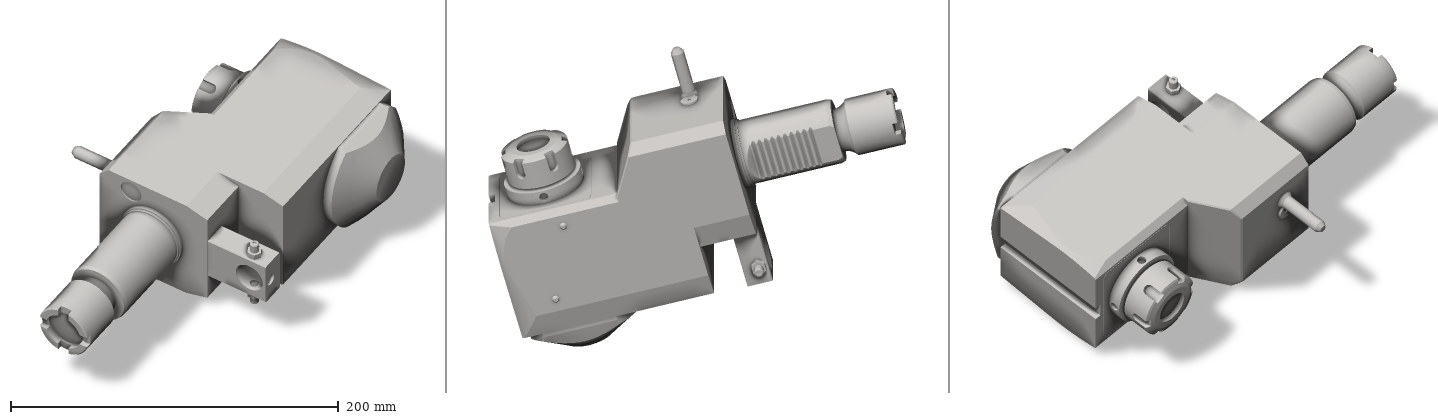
import cadquery as cq
import math

half_height = 37.5
bevel_angle = 15.0
bevel_tan = math.tan(math.radians(bevel_angle))

base_left = -39.0
base_right = 39.3
base_depth = 75.0
base_chamfer = 6.5
base_bevel = 15.5
shoulder_y = 58.5
shoulder_edge = 0.8

head_left = -9.0
head_right = 71.7
head_front = 35.0
head_rear = 156.0
head_chamfer = 4.0
head_bevel = 14.5
rear_arc_radius = 32.5
rear_arc_x = 18.5
rear_arc_top = 152.7
rear_edge_angle = 15.0
key_width = 10.3
key_depth = 4.0

spindle_y = 120.0

shank_radius = 20.0
shank_edge_length, shank_edge_drop = 2.5, 0.8
shank_end = -62.5
collar_radius = 21.5
collar_end = -2.5
step_end = -4.0
step_radius = 20.8
rack_level = -16.2
rack_start = -5.7
rack_root = -15.0
rack_first, rack_last = -11.8, -48.0
rack_gaps = 10
rack_pitch = (rack_first - rack_last) / (rack_gaps - 1)
gap_root_width = 0.8
gap_top_width = 2.8

neck_radius = 13.0
neck_arc_start = -63.2
neck_arc_radius = 14.5
knob_radius = 17.7
knob_start = -71.2
knob_end = -101.0
knob_recess_radius = 12.5
knob_recess = 5.1
knob_slot_depth = 3.5
knob_slot_width = 7.7
knob_edge = 0.8

plug_x, plug_z, plug_radius, plug_depth = -16.2, 27.8, 7.5, 1.0

arm_root = 18.0
arm_end = 81.5
arm_front, arm_back = 0.5, 16.5
arm_half_height = 15.2
arm_edge = 0.5
arm_hole_x = 69.6
arm_hole_radius = 9.8
arm_side_hole_radius = 3.9
arm_screw_y = 6.2
arm_nut_width = 9.5
arm_nut_height = 3.9
arm_screw_radius = 2.8
arm_screw_height = 10.0
arm_screw_edge = 0.5
arm_screw_recess = 1.0
arm_socket_width = 2.8
arm_socket_depth = 1.3

pin_y, pin_z = 21.0, 16.0
pin_tip = -71.7
pin_radius, pin_tip_radius, pin_tip_length = 4.0, 2.3, 2.8
pin_foot_radius, pin_foot_length = 6.0, 2.3
disc_z, disc_radius, disc_height = 6.2, 5.5, 1.5
disc_socket_width, disc_socket_depth = 2.5, 1.0

flange_radius = 24.2
flange_end = -17.5
flange_hole_radius = 2.8
flange_hole_x = -13.4
flange_hole_depth = 3.9
nut_radius = 21.0
nut_rear = -19.0
nut_groove_radius = 19.0
nut_front = -39.0
nut_shoulder_length = 2.3
nut_step_radius, nut_step_length = 19.8, 1.5
nut_face_radius = 15.2
nut_bore_radius, nut_bore_depth = 10.5, 3.0
nut_slots = 6
nut_slot_width = 6.5
nut_slot_length = 13.0
nut_slot_floor = 17.7

panel_front, panel_rear = 91.2, 149.0
panel_half_height = 31.5
panel_corner = 5.0
seam_width, seam_depth = 0.3, 0.3

cap_radius = 40.0
cap_rim_end = 77.9
cap_end = 94.8
cap_face_radius = 16.0
cap_rear = 152.1
cap_flat_height = 33.0

drain_points = [(2.3, 111.8), (49.0, 129.0)]
drain_radius, drain_tip_radius, drain_height = 2.3, 1.3, 1.5


def cylinder(start, direction, radius, length):
    """Solid cylinder from a start point along a direction."""
    solid = cq.Solid.makeCylinder(radius, length, cq.Vector(*start), cq.Vector(*direction))
    return cq.Workplane(obj=solid)


def box(x0, x1, y0, y1, z0, z1):
    """Axis-aligned box given by its limits."""
    block = cq.Workplane().box(x1 - x0, y1 - y0, z1 - z0, centered=False)
    return block.translate((x0, y0, z0))


def mirrored_z(shape):
    """The shape together with its mirror image below Z = 0."""
    return shape.union(shape.mirror("XY"))


def turned_along_x(profile, axis_y, axis_z):
    """Revolve (x, radius) points, closed to the axis, about a line parallel to X."""
    points = [(profile[0][0], 0)] + profile + [(profile[-1][0], 0)]
    turned = cq.Workplane().polyline(points).close().revolve(360, (0, 0), (1, 0))
    return turned.translate((0, axis_y, axis_z))


def block_section(left, right, chamfer, bevel, y0, y1):
    """Block along Y: 45 degree chamfers on the left, shallow bevels on the right."""
    drop = bevel * bevel_tan
    upper = [
        (left, half_height - chamfer),
        (left + chamfer, half_height),
        (right - bevel, half_height),
        (right, half_height - drop),
    ]
    lower = [(x, -z) for x, z in reversed(upper)]
    section = cq.Workplane("XZ").polyline(upper + lower).close()
    return section.extrude(y0 - y1).translate((0, y0, 0))


def base_block():
    """Front block with its oblique shoulder towards the head."""
    block = block_section(base_left, base_right, base_chamfer, base_bevel, 0, base_depth)
    outline = [
        (base_left, 0),
        (base_right, 0),
        (base_right, base_depth),
        (head_left, base_depth),
        (base_left, shoulder_y),
    ]
    plan = cq.Workplane().polyline(outline).close().extrude(half_height, both=True)
    block = block.intersect(plan)
    shoulder_normal = cq.Vector(shoulder_y - base_depth, head_left - base_left, 0)
    shoulder = block.faces(cq.selectors.DirectionMinMaxSelector(shoulder_normal))
    return shoulder.edges("not(>X)").chamfer(shoulder_edge)


def rear_envelope():
    """Flaring body whose side faces form the crowned rear bevel of the upper half."""
    margin = 25.7
    angle = math.radians(rear_edge_angle)
    centre_y = rear_arc_top - rear_arc_radius
    left = rear_arc_x - rear_arc_radius
    right = head_right + margin
    tangent_x = rear_arc_x + rear_arc_radius * math.sin(angle)
    tangent_y = centre_y + rear_arc_radius * math.cos(angle)
    middle = (math.pi + math.pi / 2 - angle) / 2
    arc_middle = (
        rear_arc_x + rear_arc_radius * math.cos(middle),
        centre_y + rear_arc_radius * math.sin(middle),
    )
    outline = (
        cq.Workplane()
        .workplane(offset=half_height)
        .moveTo(left, centre_y)
        .threePointArc(arc_middle, (tangent_x, tangent_y))
        .lineTo(right, tangent_y - (right - tangent_x) * math.tan(angle))
        .lineTo(right, 0)
        .lineTo(left, 0)
        .close()
    )
    return outline.extrude(-half_height, taper=-(90 - bevel_angle))


def head_block():
    """Rear block with the crowned bevel and a keyway across the rear face."""
    block = block_section(head_left, head_right, head_chamfer, head_bevel, head_front, head_rear)
    block = block.intersect(mirrored_z(rear_envelope()))
    keyway = box(head_left, head_right, head_rear - key_depth, head_rear, -key_width / 2, key_width / 2)
    return block.cut(keyway)


def panel_seam():
    """Thin groove outlining the spindle panel."""
    def plate(inset):
        shape = box(
            head_left, head_left + seam_depth,
            panel_front + inset, panel_rear - inset,
            inset - panel_half_height, panel_half_height - inset,
        )
        return shape.edges("|X").fillet(panel_corner - inset)

    return plate(0).cut(plate(seam_width))


def drain_screw(x, y):
    """Conical screw head under the housing."""
    cone = cq.Solid.makeCone(
        drain_radius, drain_tip_radius, drain_height, cq.Vector(x, y, -half_height), cq.Vector(0, 0, -1)
    )
    return cq.Workplane(obj=cone)


def shank():
    """Collar, shank, waist and drive knob turned about the Y axis."""
    waist_middle = (neck_arc_radius, (neck_arc_start + knob_start) / 2)
    return (
        cq.Workplane()
        .lineTo(collar_radius, 0)
        .lineTo(collar_radius, collar_end)
        .lineTo(step_radius, collar_end)
        .lineTo(step_radius, step_end)
        .lineTo(shank_radius, step_end)
        .lineTo(shank_radius, shank_end + shank_edge_length)
        .lineTo(shank_radius - shank_edge_drop, shank_end)
        .lineTo(neck_radius, shank_end)
        .lineTo(neck_radius, neck_arc_start)
        .threePointArc(waist_middle, (knob_radius, knob_start))
        .lineTo(knob_radius, knob_end + knob_edge)
        .lineTo(knob_radius - knob_edge, knob_end)
        .lineTo(0, knob_end)
        .close()
        .revolve(360, (0, 0), (0, 1))
    )


def rack_cut():
    """Material removed below the shank: ramp, flat and tooth gaps."""
    deep = -2 * shank_radius
    ramp_end = rack_start - (shank_radius + rack_level)
    ramp_foot = rack_start - (shank_radius + deep)
    points = [(ramp_foot, deep), (ramp_end, rack_level)]
    for i in range(rack_gaps):
        y = rack_first - i * rack_pitch
        points += [
            (y + gap_top_width / 2, rack_level),
            (y + gap_root_width / 2, rack_root),
            (y - gap_root_width / 2, rack_root),
            (y - gap_top_width / 2, rack_level),
        ]
    points += [(shank_end, rack_level), (shank_end, deep)]
    profile = cq.Workplane("YZ").polyline(points).close()
    return profile.extrude(shank_radius, both=True)


def knob_drive():
    """Round recess and crossed slots in the end of the knob."""
    slot_floor = knob_end + knob_slot_depth
    half = knob_slot_width / 2
    recess = cylinder((0, knob_end, 0), (0, 1, 0), knob_recess_radius, knob_recess)
    slot = box(-knob_radius, knob_radius, knob_end, slot_floor, -half, half)
    return recess.union(slot).union(slot.rotate((0, 0, 0), (0, 1, 0), 90))


def arm():
    """Cross-bored bar with a locked set screw above and below."""
    bar = box(arm_root, arm_end, arm_front, arm_back, -arm_half_height, arm_half_height)
    bar = bar.edges("|X").chamfer(arm_edge)

    nut = cq.Workplane().polygon(6, arm_nut_width).extrude(arm_nut_height)
    screw = cq.Workplane().circle(arm_screw_radius).extrude(arm_screw_height)
    screw = screw.faces(">Z").chamfer(arm_screw_edge)
    socket = cq.Workplane().polygon(6, arm_socket_width).extrude(arm_socket_depth)
    screw = screw.cut(socket.translate((0, 0, arm_screw_height - arm_socket_depth)))
    fastener = nut.union(screw).translate((arm_hole_x, arm_screw_y, arm_half_height))
    bar = bar.union(mirrored_z(fastener))

    bore = cylinder((arm_hole_x, arm_front, 0), (0, 1, 0), arm_hole_radius, arm_back - arm_front)
    outlet = cylinder((arm_hole_x, arm_screw_y, 0), (1, 0, 0), arm_side_hole_radius, arm_end - arm_hole_x)
    reach = arm_hole_radius + arm_screw_recess
    screw_seat = cylinder((arm_hole_x, arm_screw_y, -reach), (0, 0, 1), arm_screw_radius, 2 * reach)
    return bar.cut(bore).cut(outlet).cut(screw_seat)


def locating_pin():
    """Pin with a tapered tip and a flared foot."""
    profile = [
        (pin_tip, pin_tip_radius),
        (pin_tip + pin_tip_length, pin_radius),
        (base_left - pin_foot_length, pin_radius),
        (base_left, pin_foot_radius),
    ]
    return turned_along_x(profile, pin_y, pin_z)


def side_disc():
    """Flat screw head below the pin."""
    top = base_left - disc_height
    disc = cylinder((base_left, pin_y, disc_z), (-1, 0, 0), disc_radius, disc_height)
    socket = cq.Workplane("YZ").polygon(6, disc_socket_width).extrude(disc_socket_depth)
    return disc.cut(socket.translate((top, pin_y, disc_z)))


def spindle():
    """Flange and clamping nut, turned about the spindle axis."""
    profile = [
        (head_left, flange_radius),
        (flange_end, flange_radius),
        (flange_end, nut_groove_radius),
        (nut_rear, nut_groove_radius),
        (nut_rear, nut_radius),
        (nut_front + nut_shoulder_length, nut_radius),
        (nut_front + nut_step_length, nut_step_radius),
        (nut_front, nut_face_radius),
        (nut_front, nut_bore_radius),
        (nut_front + nut_bore_depth, nut_bore_radius),
    ]
    body = turned_along_x(profile, 0, 0)

    slot_centre = nut_front + nut_slot_length - nut_slot_width / 2
    half = nut_slot_width / 2
    slot = box(nut_front, slot_centre, -half, half, nut_slot_floor, nut_radius)
    slot = slot.union(
        cylinder((slot_centre, 0, nut_slot_floor), (0, 0, 1), half, nut_radius - nut_slot_floor)
    )
    for i in range(nut_slots):
        body = body.cut(slot.rotate((0, 0, 0), (1, 0, 0), 90 + i * 360 / nut_slots))

    hole_floor = flange_radius - flange_hole_depth
    hole = cylinder((flange_hole_x, 0, hole_floor), (0, 0, 1), flange_hole_radius, flange_hole_depth)
    for angle in (0, 90, 180, 270):
        body = body.cut(hole.rotate((0, 0, 0), (1, 0, 0), angle))
    return body.translate((0, spindle_y, 0))


def cap():
    """Conical cap, trimmed flush with the slopes of the head and flat at the rear."""
    profile = [
        (head_right, cap_radius),
        (cap_rim_end, cap_radius),
        (cap_end, cap_face_radius),
    ]
    body = turned_along_x(profile, spindle_y, 0)
    bevel_start = head_right - head_bevel
    flat_end = bevel_start + (half_height - cap_flat_height) / bevel_tan
    end_height = half_height - (cap_end - bevel_start) * bevel_tan
    trim = (
        cq.Workplane("XZ")
        .moveTo(head_right, 0)
        .lineTo(head_right, cap_flat_height)
        .lineTo(flat_end, cap_flat_height)
        .lineTo(cap_end, end_height)
        .lineTo(cap_end, 0)
        .close()
        .extrude(-cap_rear)
    )
    return body.intersect(mirrored_z(trim))


plug_hole = cylinder((plug_x, 0, plug_z), (0, 1, 0), plug_radius, plug_depth)

result = base_block().union(head_block()).cut(panel_seam()).cut(plug_hole)
result = result.union(shank().cut(rack_cut()).cut(knob_drive()))
for feature in (arm(), locating_pin(), side_disc(), spindle(), cap()):
    result = result.union(feature)
for point in drain_points:
    result = result.union(drain_screw(*point))